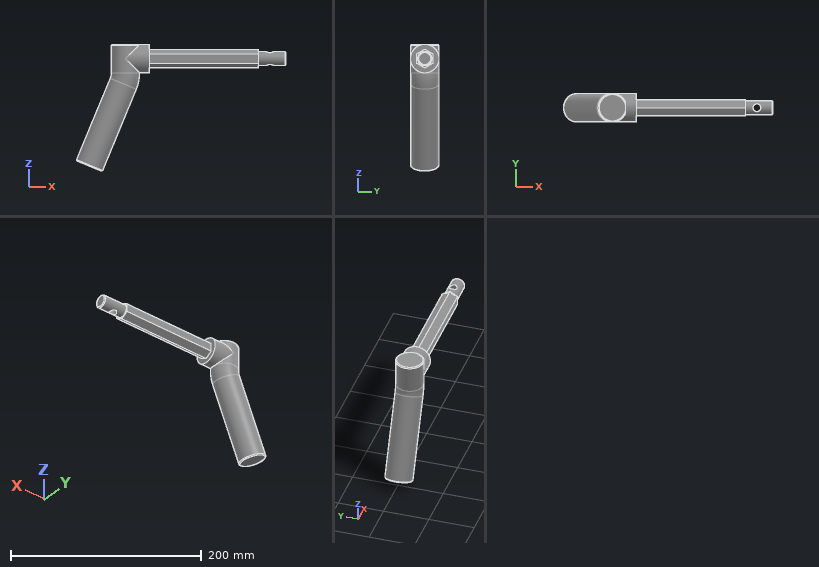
import cadquery as cq
import math

body_diameter = 30.0
body_radius = body_diameter / 2
edge_chamfer = 1.0

bend_angle = 22.5
bend_radius = body_diameter
grip_length = 93.7

collar_end = 25.1
hex_end = 139.7
pin_end = 168.8
hex_across_flats = 17.0
pin_diameter = 15.0
pin_chamfer = 1.0
cross_hole_diameter = 8.0
cross_hole_offset = 12.1

hub_bottom = -body_radius
bend_radians = math.radians(bend_angle)


def make_hub():
    """Upright cylinder with a chamfered top edge, as tall as it is wide."""
    hub = cq.Workplane("XY", origin=(0, 0, hub_bottom)).circle(body_radius).extrude(body_diameter)
    return hub.faces(">Z").chamfer(edge_chamfer)


def make_bend():
    """Part of a torus turning from straight down toward -X."""
    return (
        cq.Workplane("XY", origin=(0, 0, hub_bottom))
        .circle(body_radius)
        .revolve(bend_angle, (-bend_radius, 0), (-bend_radius, 1))
    )


def make_grip():
    """Sloping cylinder that continues from the end of the bend."""
    start_x = -bend_radius * (1 - math.cos(bend_radians))
    start_z = hub_bottom - bend_radius * math.sin(bend_radians)
    slope = cq.Plane(
        origin=(start_x, 0, start_z),
        xDir=(0, 1, 0),
        normal=(-math.sin(bend_radians), 0, -math.cos(bend_radians)),
    )
    grip = cq.Workplane(slope).circle(body_radius).extrude(grip_length)
    return grip.faces("<Z").chamfer(edge_chamfer)


def make_shaft():
    """Collar, hexagon with flats facing +Y and -Y, and a cross-drilled pin."""
    collar = cq.Workplane("YZ").circle(body_radius).extrude(collar_end)
    hexagon = (
        cq.Workplane("YZ", origin=(collar_end, 0, 0))
        .polygon(6, hex_across_flats, circumscribed=True)
        .extrude(hex_end - collar_end)
    )
    pin = (
        cq.Workplane("YZ", origin=(hex_end, 0, 0))
        .circle(pin_diameter / 2)
        .extrude(pin_end - hex_end)
        .faces(">X")
        .chamfer(pin_chamfer)
    )
    cross_hole = (
        cq.Workplane("XY")
        .center(hex_end + cross_hole_offset, 0)
        .circle(cross_hole_diameter / 2)
        .extrude(pin_diameter, both=True)
    )
    return collar.union(hexagon).union(pin.cut(cross_hole))


result = make_hub().union(make_shaft()).union(make_bend()).union(make_grip())